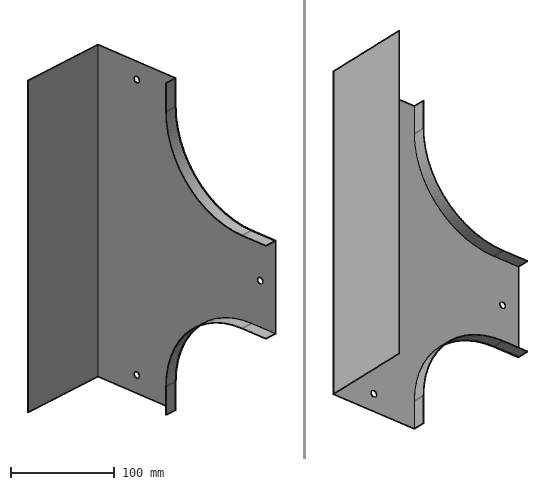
import cadquery as cq

height = 362.0
length = 232.0
depth = 100.0

sheet = 0.7
bend_radius = 99.0
straight_end = 31.0
flange_depth = 14.0
hole_diameter = 7.0
hole_inset = 20.0

corner_reach = bend_radius + straight_end
run_width = length - corner_reach
branch_half = height / 2 - corner_reach


def tee_profile(inset):
    """Tee outline with its concave edges moved inward by inset."""
    edge_x = run_width - inset
    edge_z = branch_half - inset
    radius = bend_radius + inset
    center_x = run_width + bend_radius
    center_z = branch_half + bend_radius
    diagonal = radius * 0.5 ** 0.5
    mid_x = center_x - diagonal
    mid_z = center_z - diagonal
    return (
        cq.Workplane("XZ")
        .moveTo(0, -height / 2)
        .lineTo(edge_x, -height / 2)
        .lineTo(edge_x, -center_z)
        .threePointArc((mid_x, -mid_z), (center_x, -edge_z))
        .lineTo(length, -edge_z)
        .lineTo(length, edge_z)
        .lineTo(center_x, edge_z)
        .threePointArc((mid_x, mid_z), (edge_x, center_z))
        .lineTo(edge_x, height / 2)
        .lineTo(0, height / 2)
        .close()
    )


plate = tee_profile(0).extrude(sheet)

flanges = tee_profile(0).extrude(flange_depth).cut(tee_profile(sheet).extrude(flange_depth))

wall = cq.Workplane("XY").box(sheet, depth, height, centered=(False, False, True)).translate((0, -depth, 0))

hole_centers = [
    (run_width / 2, height / 2 - hole_inset),
    (run_width / 2, hole_inset - height / 2),
    (length - hole_inset, 0),
]
holes = cq.Workplane("XZ").pushPoints(hole_centers).circle(hole_diameter / 2).extrude(sheet)

result = plate.union(flanges).union(wall).cut(holes)